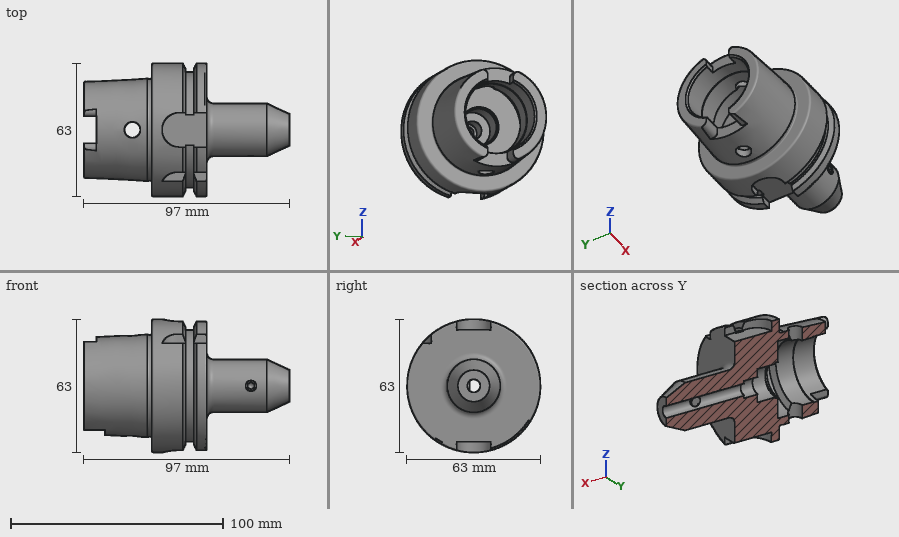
import cadquery as cq
import math

LENGTH = 97.0
TURNING_AXIS = ((0, 0, 0), (1, 0, 0))
EDGE_ROUND = 1.0

SHANK_TAPER = 0.05
SHANK_FRONT_RADIUS = 22.8
SHANK_END = 30.0
NECK_START = 30.7
NECK_RADIUS = 24.1
NECK_FILLET = 0.5
SHANK_END_RADIUS = SHANK_FRONT_RADIUS + SHANK_TAPER * (SHANK_END - EDGE_ROUND)

FLANGE_START = 32.0
FLANGE_END = 58.0
FLANGE_DIAMETER = 63.0
FLANGE_RADIUS = FLANGE_DIAMETER / 2
GROOVE_START = 47.9
GROOVE_END = 51.8
GROOVE_RADIUS = 27.4
GROOVE_WALL_RADIUS = 28.8
GROOVE_FLANK = 1.4

NOSE_RADIUS = 12.5
NOSE_FILLET = 3.0
NOSE_CONE_START = 86.2
NOSE_TIP_RADIUS = 7.5

CAVITY_RADIUS = 17.0
CAVITY_CHAMFER = 0.9
CAVITY_STEP_X = 12.7
CAVITY_THROAT_RADIUS = 16.7
CLAMP_CONE_START = 22.7
CLAMP_CONE_ANGLE = 60.0
CLAMP_SPACE_RADIUS = 19.9
CAVITY_DEPTH = 33.0
RECESS_RADIUS = 9.2
RECESS_DEPTH = 1.5
THREAD_BORE_RADIUS = 8.5
THREAD_BORE_DEPTH = 11.6
RELIEF_RADIUS = 4.4
RELIEF_DEPTH = 19.4
TOOL_BORE_RADIUS = 3.0

DRIVE_SLOT_WIDTH = 12.6
DRIVE_SLOT_ROUND = 2.3
DRIVE_SLOT_ROUND_START = 18.5
TOP_SLOT_DEPTH = 5.9
BOTTOM_SLOT_DEPTH = 9.9
CROSS_HOLE_X = 22.9
CROSS_HOLE_RADIUS = 3.7

KEYWAY_START = 36.9
KEYWAY_WIDTH = 16.2
KEYWAY_FLOOR = 26.4
NOTCH_OFFSET = 20.0
NOTCH_ROUND = 7.8
NOTCH_ROUND_X = 43.8

SCREW_X = 78.8
SCREW_RADIUS = 2.5
SCREW_INNER_END = 1.8
HEX_ACROSS_FLATS = 3.0
HEX_DEPTH = 2.9
DRILL_POINT_ANGLE = 120.0
HEX_TURN = 30.0


def turned_blank():
    """Solid of revolution of the shank, flange and nose."""
    profile = (
        cq.Workplane("XZ")
        .lineTo(0, SHANK_FRONT_RADIUS - EDGE_ROUND)
        .radiusArc((EDGE_ROUND, SHANK_FRONT_RADIUS), EDGE_ROUND)
        .lineTo(SHANK_END, SHANK_END_RADIUS)
        .lineTo(NECK_START, NECK_RADIUS)
        .lineTo(FLANGE_START - NECK_FILLET, NECK_RADIUS)
        .radiusArc((FLANGE_START, NECK_RADIUS + NECK_FILLET), -NECK_FILLET)
        .lineTo(FLANGE_START, FLANGE_RADIUS - EDGE_ROUND)
        .radiusArc((FLANGE_START + EDGE_ROUND, FLANGE_RADIUS), EDGE_ROUND)
        .lineTo(GROOVE_START - GROOVE_FLANK, FLANGE_RADIUS)
        .lineTo(GROOVE_START, GROOVE_WALL_RADIUS)
        .lineTo(GROOVE_START, GROOVE_RADIUS)
        .lineTo(GROOVE_END, GROOVE_RADIUS)
        .lineTo(GROOVE_END, GROOVE_WALL_RADIUS)
        .lineTo(GROOVE_END + GROOVE_FLANK, FLANGE_RADIUS)
        .lineTo(FLANGE_END - EDGE_ROUND, FLANGE_RADIUS)
        .radiusArc((FLANGE_END, FLANGE_RADIUS - EDGE_ROUND), EDGE_ROUND)
        .lineTo(FLANGE_END, NOSE_RADIUS + NOSE_FILLET)
        .radiusArc((FLANGE_END + NOSE_FILLET, NOSE_RADIUS), -NOSE_FILLET)
        .lineTo(NOSE_CONE_START, NOSE_RADIUS)
        .lineTo(LENGTH, NOSE_TIP_RADIUS)
        .lineTo(LENGTH, 0)
        .close()
    )
    return profile.revolve(360, *TURNING_AXIS)


def axial_bore():
    """Drive-end cavity with the stepped bores that continue to the nose."""
    clamp_cone_rise = CLAMP_SPACE_RADIUS - CAVITY_THROAT_RADIUS
    clamp_cone_end = CLAMP_CONE_START + clamp_cone_rise / math.tan(math.radians(CLAMP_CONE_ANGLE))
    recess_end = CAVITY_DEPTH + RECESS_DEPTH
    thread_end = CAVITY_DEPTH + THREAD_BORE_DEPTH
    relief_end = CAVITY_DEPTH + RELIEF_DEPTH
    profile = (
        cq.Workplane("XZ")
        .lineTo(0, CAVITY_RADIUS + CAVITY_CHAMFER)
        .lineTo(CAVITY_CHAMFER, CAVITY_RADIUS)
        .lineTo(CAVITY_STEP_X, CAVITY_RADIUS)
        .lineTo(CAVITY_STEP_X, CAVITY_THROAT_RADIUS)
        .lineTo(CLAMP_CONE_START, CAVITY_THROAT_RADIUS)
        .lineTo(clamp_cone_end, CLAMP_SPACE_RADIUS)
        .lineTo(CAVITY_DEPTH, CLAMP_SPACE_RADIUS)
        .lineTo(CAVITY_DEPTH, RECESS_RADIUS)
        .lineTo(recess_end, RECESS_RADIUS)
        .lineTo(recess_end, THREAD_BORE_RADIUS)
        .lineTo(thread_end, THREAD_BORE_RADIUS)
        .lineTo(thread_end, RELIEF_RADIUS)
        .lineTo(relief_end, RELIEF_RADIUS)
        .lineTo(relief_end, TOOL_BORE_RADIUS)
        .lineTo(LENGTH, TOOL_BORE_RADIUS)
        .lineTo(LENGTH, 0)
        .close()
    )
    return profile.revolve(360, *TURNING_AXIS)


def drive_slot(depth):
    """Upper drive slot, whose walls round outwards into flat shelves at the shank surface."""
    half = DRIVE_SLOT_WIDTH / 2
    flare = half + DRIVE_SLOT_ROUND
    round_end = DRIVE_SLOT_ROUND_START + DRIVE_SLOT_ROUND
    return (
        cq.Workplane("YZ")
        .moveTo(-half, 0)
        .lineTo(-half, DRIVE_SLOT_ROUND_START)
        .radiusArc((-flare, round_end), -DRIVE_SLOT_ROUND)
        .lineTo(-FLANGE_RADIUS, round_end)
        .lineTo(-FLANGE_RADIUS, FLANGE_RADIUS)
        .lineTo(FLANGE_RADIUS, FLANGE_RADIUS)
        .lineTo(FLANGE_RADIUS, round_end)
        .lineTo(flare, round_end)
        .radiusArc((half, DRIVE_SLOT_ROUND_START), -DRIVE_SLOT_ROUND)
        .lineTo(half, 0)
        .close()
        .extrude(depth)
    )


def cross_hole():
    """Hole through both walls of the cavity."""
    return (
        cq.Workplane("XY", origin=(CROSS_HOLE_X, 0, -FLANGE_RADIUS))
        .circle(CROSS_HOLE_RADIUS)
        .extrude(2 * FLANGE_RADIUS)
    )


def keyway():
    """Upper keyway with a round front end, open at the back of the flange."""
    half = KEYWAY_WIDTH / 2
    height = FLANGE_RADIUS - KEYWAY_FLOOR
    return (
        cq.Workplane("XY", origin=(0, 0, KEYWAY_FLOOR))
        .moveTo(FLANGE_END, -half)
        .lineTo(KEYWAY_START + half, -half)
        .threePointArc((KEYWAY_START, 0), (KEYWAY_START + half, half))
        .lineTo(FLANGE_END, half)
        .close()
        .extrude(height)
    )


def corner_notch():
    """Square notch in the -Y, +Z corner of the flange with a round front end."""
    height = FLANGE_RADIUS - NOTCH_OFFSET
    return (
        cq.Workplane("XY", origin=(0, 0, NOTCH_OFFSET))
        .moveTo(FLANGE_END, -NOTCH_OFFSET)
        .lineTo(NOTCH_ROUND_X, -NOTCH_OFFSET)
        .radiusArc((NOTCH_ROUND_X - NOTCH_ROUND, -NOTCH_OFFSET - NOTCH_ROUND), -NOTCH_ROUND)
        .lineTo(NOTCH_ROUND_X - NOTCH_ROUND, -FLANGE_RADIUS)
        .lineTo(FLANGE_END, -FLANGE_RADIUS)
        .close()
        .extrude(height)
    )


def screw_shank(inner_end):
    """Cylinder on the screw axis from the nose surface to inner_end from the holder axis."""
    return (
        cq.Workplane("XZ", origin=(SCREW_X, -inner_end, 0))
        .circle(SCREW_RADIUS)
        .extrude(NOSE_RADIUS - inner_end)
    )


def hex_socket():
    """Hexagonal socket with a conical bottom."""
    corner_radius = HEX_ACROSS_FLATS / math.sqrt(3)
    cone_depth = corner_radius / math.tan(math.radians(DRILL_POINT_ANGLE / 2))
    total_depth = HEX_DEPTH + cone_depth
    hexagon = (
        cq.Workplane("XZ", origin=(SCREW_X, total_depth - NOSE_RADIUS, 0))
        .polygon(6, 2 * corner_radius)
        .extrude(total_depth)
        .rotate((SCREW_X, 0, 0), (SCREW_X, 1, 0), HEX_TURN)
    )
    drill = (
        cq.Workplane("XY", origin=(SCREW_X, -NOSE_RADIUS, 0))
        .lineTo(corner_radius, 0)
        .lineTo(corner_radius, HEX_DEPTH)
        .lineTo(0, total_depth)
        .close()
        .revolve(360, (0, 0, 0), (0, 1, 0))
    )
    return hexagon.intersect(drill)


def make_holder():
    return (
        turned_blank()
        .cut(axial_bore())
        .cut(drive_slot(TOP_SLOT_DEPTH))
        .cut(drive_slot(BOTTOM_SLOT_DEPTH).rotate(*TURNING_AXIS, 180))
        .cut(cross_hole())
        .cut(keyway())
        .cut(keyway().rotate(*TURNING_AXIS, 180))
        .cut(corner_notch())
        .cut(screw_shank(0))
    )


def make_screw():
    return screw_shank(SCREW_INNER_END).cut(hex_socket())


holder = make_holder()
screw = make_screw()
result = cq.Compound.makeCompound([holder.val(), screw.val()])